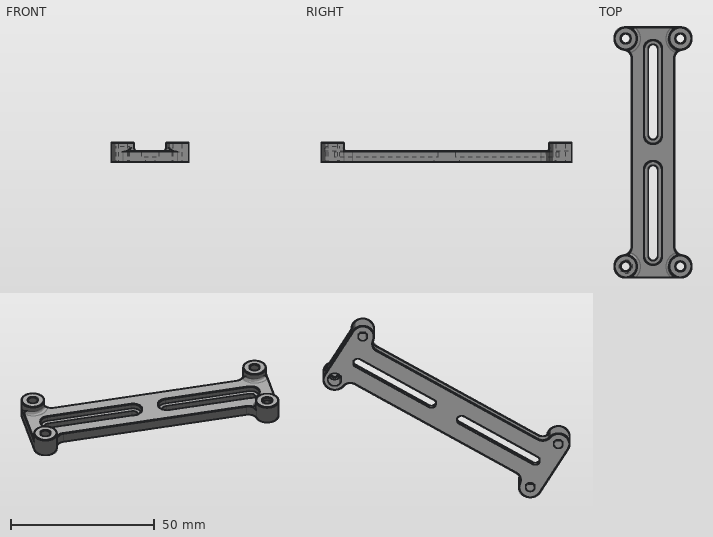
import cadquery as cq
import math

LENGTH = 87.4
WIDTH = 27.1
HEIGHT = 7.0

BOSS_DIAMETER = 8.0
HOLE_DIAMETER = 3.2
BORE_DIAMETER = 4.7
BORE_DEPTH = 5.7
BOSS_RADIUS = BOSS_DIAMETER / 2
BOSS_X = WIDTH / 2 - BOSS_RADIUS
BOSS_Y = LENGTH / 2 - BOSS_RADIUS

BAR_WIDTH = 15.0
BAR_THICKNESS = 4.0
NECK_FILLET = 3.0
BOSS_BASE_FILLET = 1.05

SLOT_WIDTH = 3.2
SLOT_CENTRE_DISTANCE = 29.9
SLOT_Y = 21.1
RECESS_WIDTH = 6.0
RECESS_DEPTH = 2.0

EDGE_CHAMFER = 0.3
BOSS_CENTRES = [(sx * BOSS_X, sy * BOSS_Y) for sx in (-1, 1) for sy in (-1, 1)]


def neck_blend(side, end, height):
    """Web that fills the corner between a boss and the bar, up to an arc tangent to both."""
    bar_edge = BAR_WIDTH / 2
    arc_x = bar_edge + NECK_FILLET
    reach = BOSS_RADIUS + NECK_FILLET
    drop = math.sqrt(reach**2 - (arc_x - BOSS_X) ** 2)
    arc_y = BOSS_Y - drop
    share = BOSS_RADIUS / reach
    touch = (BOSS_X + (arc_x - BOSS_X) * share, BOSS_Y - drop * share)
    middle_angle = (math.pi + math.atan2(drop, BOSS_X - arc_x)) / 2
    middle = (
        arc_x + NECK_FILLET * math.cos(middle_angle),
        arc_y + NECK_FILLET * math.sin(middle_angle),
    )

    def place(point):
        return (side * point[0], end * point[1])

    return (
        cq.Workplane("XY")
        .moveTo(*place((0, arc_y)))
        .lineTo(*place((bar_edge, arc_y)))
        .threePointArc(place(middle), place(touch))
        .lineTo(*place((BOSS_X, BOSS_Y)))
        .lineTo(*place((0, BOSS_Y)))
        .close()
        .extrude(height)
    )


def outline_prism(height):
    """Full plan outline of the part, extruded upward from the bottom face."""
    prism = cq.Workplane("XY").rect(BAR_WIDTH, LENGTH).extrude(height)
    for end in (-1, 1):
        end_strip = (
            cq.Workplane("XY")
            .center(0, end * (BOSS_Y + BOSS_RADIUS / 2))
            .rect(2 * BOSS_X, BOSS_RADIUS)
            .extrude(height)
        )
        prism = prism.union(end_strip)
        for side in (-1, 1):
            prism = prism.union(neck_blend(side, end, height))
    bosses = cq.Workplane("XY").pushPoints(BOSS_CENTRES).circle(BOSS_RADIUS).extrude(height)
    return prism.union(bosses).clean()


def boss_base_ring():
    """Concave ring that blends a boss at the origin into the top of the bar."""
    outer = BOSS_RADIUS + BOSS_BASE_FILLET
    top = BAR_THICKNESS + BOSS_BASE_FILLET
    arc_inset = BOSS_BASE_FILLET * (1 - math.sqrt(0.5))
    return (
        cq.Workplane("XZ")
        .moveTo(0, BAR_THICKNESS / 2)
        .lineTo(outer, BAR_THICKNESS / 2)
        .lineTo(outer, BAR_THICKNESS)
        .threePointArc((BOSS_RADIUS + arc_inset, BAR_THICKNESS + arc_inset), (BOSS_RADIUS, top))
        .lineTo(0, top)
        .close()
        .revolve(360, (0, 0), (0, 1))
    )


def boss():
    """Boss at the origin, with both rims chamfered."""
    return cq.Workplane("XY").circle(BOSS_RADIUS).extrude(HEIGHT).faces("<Z or >Z").chamfer(EDGE_CHAMFER)


def hole_cutter():
    """Through hole at the origin with a chamfered top rim."""
    hole = HOLE_DIAMETER / 2
    return (
        cq.Workplane("XZ")
        .moveTo(0, 0)
        .lineTo(hole, 0)
        .lineTo(hole, HEIGHT - EDGE_CHAMFER)
        .lineTo(hole + EDGE_CHAMFER, HEIGHT)
        .lineTo(0, HEIGHT)
        .close()
        .revolve(360, (0, 0), (0, 1))
    )


def slot_cutter():
    """Through slot with a wider recess above it and a chamfered recess rim."""

    def slot(width, bottom):
        plane = cq.Workplane("XY").workplane(offset=bottom)
        return plane.slot2D(SLOT_CENTRE_DISTANCE + width, width, 90)

    through = slot(SLOT_WIDTH, 0).extrude(BAR_THICKNESS)
    recess = slot(RECESS_WIDTH, BAR_THICKNESS - RECESS_DEPTH).extrude(RECESS_DEPTH)
    rim = slot(RECESS_WIDTH, BAR_THICKNESS - EDGE_CHAMFER).extrude(EDGE_CHAMFER, taper=-45)
    return through.union(recess).union(rim)


def quarter():
    """The +X +Y quarter of the part, before the holes and slots are cut."""
    bar = outline_prism(BAR_THICKNESS).faces("<Z or >Z").chamfer(EDGE_CHAMFER)
    ring_top = BAR_THICKNESS + BOSS_BASE_FILLET
    ring_limit = outline_prism(ring_top).faces(">Z").chamfer(EDGE_CHAMFER + BOSS_BASE_FILLET)
    ring = boss_base_ring().translate((BOSS_X, BOSS_Y, 0)).intersect(ring_limit)
    quadrant = cq.Workplane("XY").box(WIDTH, LENGTH, HEIGHT, centered=False)
    return bar.intersect(quadrant).union(ring).union(boss().translate((BOSS_X, BOSS_Y, 0)))


corner = quarter()
half = corner.union(corner.mirror("YZ"))
result = half.union(half.mirror("XZ")).clean()

for x, y in BOSS_CENTRES:
    result = result.cut(hole_cutter().translate((x, y, 0)))

bore = cq.Workplane("XY").center(-BOSS_X, -BOSS_Y).circle(BORE_DIAMETER / 2).extrude(BORE_DEPTH)
result = result.cut(bore)

for end in (-1, 1):
    result = result.cut(slot_cutter().translate((0, end * SLOT_Y, 0)))